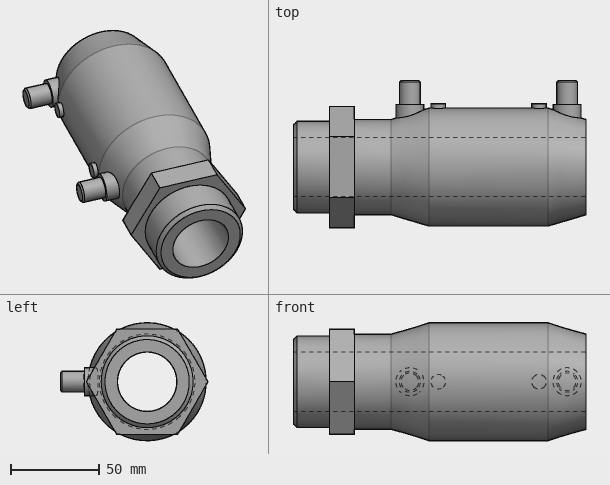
import cadquery as cq
import math

length = 166.0
nut_start = 20.5
nut_end = 34.5
neck_end = 55.5
barrel_start = 77.0
barrel_end = 144.3

spigot_radius = 26.0
neck_radius = 27.0
barrel_radius = 33.5
bore_radius = 16.8
spigot_chamfer = 2.2

nut_across_flats = 59.8

terminal_positions = (66.0, 155.2)
terminal_radius = 6.0
terminal_top = 49.1
terminal_chamfer = 1.0
collar_radius = 8.0
collar_top = 35.5
indicator_positions = (82.2, 139.3)
indicator_radius = 4.2
indicator_top = 36.0
root_height = 20.0


def turned_body():
    profile = [
        (0, 0),
        (0, spigot_radius - spigot_chamfer),
        (spigot_chamfer, spigot_radius),
        (nut_start, spigot_radius),
        (nut_start, neck_radius),
        (neck_end, neck_radius),
        (barrel_start, barrel_radius),
        (barrel_end, barrel_radius),
        (length, neck_radius),
        (length, 0),
    ]
    return cq.Workplane("XY").polyline(profile).close().revolve(360, (0, 0, 0), (1, 0, 0))


def hex_nut():
    across_corners = nut_across_flats / math.cos(math.radians(30))
    nut_face = cq.Workplane("YZ").workplane(offset=nut_start)
    return nut_face.polygon(6, across_corners).extrude(nut_end - nut_start)


def radial_post(x, radius, top):
    """Cylinder along +Y, rooted inside the body wall."""
    root = cq.Vector(x, root_height, 0)
    return cq.Workplane(cq.Solid.makeCylinder(radius, top - root_height, root, cq.Vector(0, 1, 0)))


def terminal(x):
    pin = radial_post(x, terminal_radius, terminal_top).faces(">Y").chamfer(terminal_chamfer)
    return pin.union(radial_post(x, collar_radius, collar_top))


body = turned_body().union(hex_nut())
for position in terminal_positions:
    body = body.union(terminal(position))
for position in indicator_positions:
    body = body.union(radial_post(position, indicator_radius, indicator_top))

bore = cq.Workplane("YZ").circle(bore_radius).extrude(length)
result = body.cut(bore)